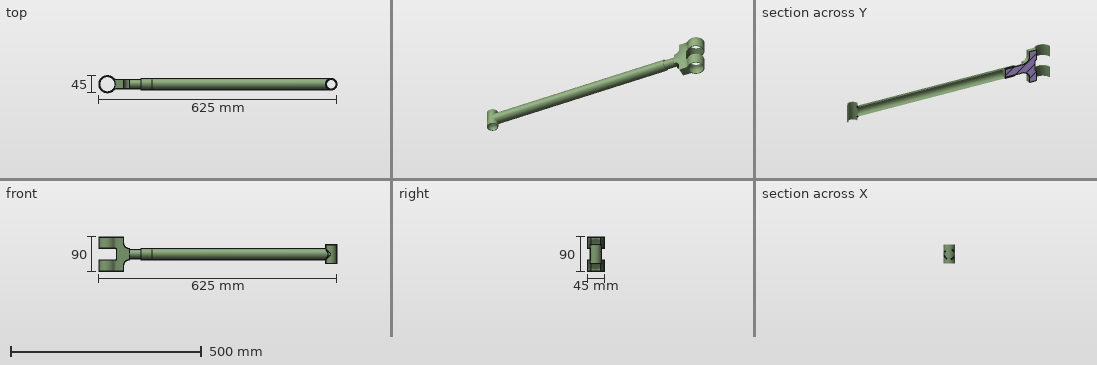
import cadquery as cq
import math

total_length = 625.0
wall = 2.5

ring_outer_diameter = 45.0
ring_bore_diameter = ring_outer_diameter - 2 * wall
ring_height = 30.0
ring_gap = 30.0
clevis_height = 2 * ring_height + ring_gap
block_width = 25.0
neck_fillet_radius = 10.0
block_back_x = 65.0
nose_end_x = 80.0
nose_height = 30.0
flank_radius = nose_end_x - block_back_x
shank_insertion = 30.0
root_fillet_radius = 2.0

tube_outer_diameter = 30.0
tube_bore_diameter = tube_outer_diameter - 2 * wall
tube_start_x = 110.0
cross_tube_height = 50.0

shank_diameter = tube_bore_diameter
shank_end_x = tube_start_x + shank_insertion
ring_radius = ring_outer_diameter / 2
ring_center_x = ring_radius

fillet_center_y = block_width / 2 + neck_fillet_radius
fillet_center_distance = ring_radius + neck_fillet_radius
block_front_x = ring_center_x + math.sqrt(fillet_center_distance**2 - fillet_center_y**2)
cross_tube_x = total_length - tube_outer_diameter / 2


def upright_cylinder(x, diameter, bottom_z, height):
    """Cylinder along Z, centred on the rod axis plane."""
    return cq.Workplane("XY", origin=(x, 0, bottom_z)).circle(diameter / 2).extrude(height)


def rod_cylinder(diameter, start_x, end_x):
    """Cylinder along the rod axis."""
    return cq.Workplane("YZ", origin=(start_x, 0, 0)).circle(diameter / 2).extrude(end_x - start_x)


def make_neck(bottom_z):
    """Web from ring to block, narrowed on both sides by concave fillets."""
    half_width = fillet_center_y * ring_radius / fillet_center_distance
    neck = (
        cq.Workplane("XY", origin=(ring_center_x, 0, bottom_z))
        .box(block_front_x - ring_center_x, 2 * half_width, ring_height, centered=(False, True, False))
    )
    for side in (-1, 1):
        fillet_cutter = (
            cq.Workplane("XY", origin=(block_front_x, side * fillet_center_y, bottom_z))
            .circle(neck_fillet_radius)
            .extrude(ring_height)
        )
        neck = neck.cut(fillet_cutter)
    return neck


def make_block():
    """Block with a nose that blends into its back face through concave arcs."""
    half_height = clevis_height / 2
    half_nose = nose_height / 2
    half_flank = half_nose + flank_radius
    arc_inset = flank_radius * (1 - math.sqrt(0.5))
    return (
        cq.Workplane("XZ")
        .moveTo(block_front_x, -half_height)
        .lineTo(block_back_x, -half_height)
        .lineTo(block_back_x, -half_flank)
        .threePointArc(
            (block_back_x + arc_inset, -half_nose - arc_inset), (nose_end_x, -half_nose)
        )
        .lineTo(nose_end_x, half_nose)
        .threePointArc(
            (block_back_x + arc_inset, half_nose + arc_inset), (block_back_x, half_flank)
        )
        .lineTo(block_back_x, half_height)
        .lineTo(block_front_x, half_height)
        .close()
        .extrude(block_width / 2, both=True)
    )


def make_shank_root():
    """Concave fillet around the shank foot, trimmed to the width of the block."""
    shank_radius = shank_diameter / 2
    flare_radius = shank_radius + root_fillet_radius
    flare_end_x = nose_end_x + root_fillet_radius
    arc_inset = root_fillet_radius * (1 - math.sqrt(0.5))
    flare = (
        cq.Workplane("XY")
        .moveTo(nose_end_x, 0)
        .lineTo(nose_end_x, flare_radius)
        .threePointArc(
            (nose_end_x + arc_inset, shank_radius + arc_inset), (flare_end_x, shank_radius)
        )
        .lineTo(flare_end_x, 0)
        .close()
        .revolve(360, (0, 0, 0), (1, 0, 0))
    )
    width_limit = (
        cq.Workplane("XY", origin=(nose_end_x, 0, 0))
        .box(root_fillet_radius, block_width, 2 * flare_radius, centered=(False, True, True))
    )
    return flare.intersect(width_limit)


def make_gap_fillet(side):
    """Concave fillet in the corner between the block and the neck above or below the gap."""
    corner_z = side * ring_gap / 2
    arc_inset = root_fillet_radius * (1 - math.sqrt(0.5))
    return (
        cq.Workplane("XZ")
        .moveTo(block_front_x, corner_z)
        .lineTo(block_front_x - root_fillet_radius, corner_z)
        .threePointArc(
            (block_front_x - arc_inset, corner_z - side * arc_inset),
            (block_front_x, corner_z - side * root_fillet_radius),
        )
        .close()
        .extrude(block_width / 2, both=True)
    )


def make_clevis():
    """Rings, block and shank in one solid."""
    shank = rod_cylinder(shank_diameter, nose_end_x, shank_end_x)
    clevis = make_block().union(shank).union(make_shank_root())
    for side, bottom_z in ((-1, -clevis_height / 2), (1, ring_gap / 2)):
        ring = upright_cylinder(ring_center_x, ring_outer_diameter, bottom_z, ring_height)
        bore = upright_cylinder(ring_center_x, ring_bore_diameter, bottom_z, ring_height)
        ring_with_neck = ring.union(make_neck(bottom_z)).cut(bore)
        clevis = clevis.union(ring_with_neck).union(make_gap_fillet(side))
    return clevis


def make_tee():
    """Long tube that ends on the outside of an open cross tube."""
    bottom_z = -cross_tube_height / 2
    cross_outer = upright_cylinder(cross_tube_x, tube_outer_diameter, bottom_z, cross_tube_height)
    cross_bore = upright_cylinder(cross_tube_x, tube_bore_diameter, bottom_z, cross_tube_height)
    tube_outer = rod_cylinder(tube_outer_diameter, tube_start_x, cross_tube_x)
    tube_bore = rod_cylinder(tube_bore_diameter, tube_start_x, cross_tube_x)
    tube = tube_outer.cut(tube_bore).cut(cross_outer)
    return cross_outer.cut(cross_bore).union(tube)


clevis = make_clevis()
tee = make_tee()

result = cq.Compound.makeCompound([clevis.val(), tee.val()])